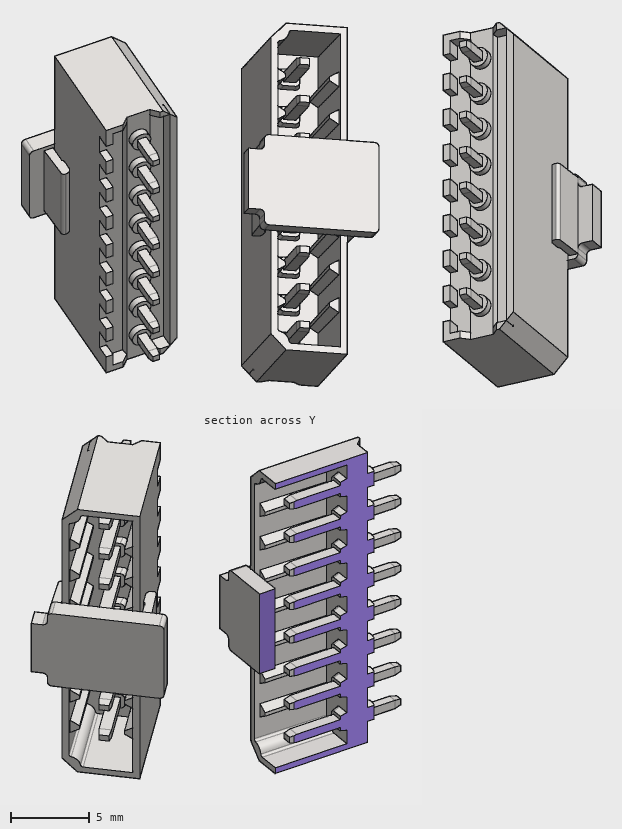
import cadquery as cq


HOUSING_DEPTH = 7.5
HOUSING_WIDTH = 5.03
HOUSING_HEIGHT = 21.7
CORNER_CHAMFER = 1.0

WALL = 0.45
WALL_AT_FLOOR = 0.52
CAVITY_DEPTH = 5.42
CORNER_PILLAR_RADIUS = 0.75
PILLAR_BLEND_RADIUS = 0.17

PIN_COUNT = 8
END_PIN_MARGIN = 2.1
PIN_THICKNESS = 0.63
BLADE_WIDTH = 0.8
BLADE_START = 1.13
TAIL_LENGTH = 2.1
TIP_LENGTH = 0.5
TIP_SETBACK_Y = 0.075
TIP_SETBACK_Z = 0.098
COLLAR_WIDTH = 1.56
COLLAR_HEIGHT = 1.35
COLLAR_LENGTH = 0.5
COLLAR_SETBACK = 0.12
COLLAR_RADIUS = 0.3
TAIL_BOSS_DIAMETER = 1.3

RIB_START = 0.41
RIB_TIP_Y = 1.45
RIB_TIP_HEIGHT = 0.25
RIB_BASE_HEIGHT = 1.0

REAR_WALL = 0.5
TROUGH_DEPTH = 0.98
NOTCH_DEPTH = 0.5
NOTCH_FLOOR_WIDTH = 1.63
SPINE_FLARE = 0.075
SLOT_HEIGHT = 1.37

CAP_THICKNESS = 1.2
CAP_WIDTH = 8.6
CAP_HEIGHT = 6.0
CAP_SHOULDER_Y = 3.25
CAP_TAB_HEIGHT = 4.0
CAP_RADIUS = 0.3
ARM_LENGTH = 2.5
ARM_ROOT_Y = 3.25
ARM_TIP_Y = 3.17
ARM_GAP = 0.1
ARM_GRIP_START = 1.25
ARM_GRIP_RAMP = 0.13
ARM_TIP_OUTER_RADIUS = 0.22
ARM_TIP_INNER_RADIUS = 0.4

HALF_WIDTH = HOUSING_WIDTH / 2
HALF_HEIGHT = HOUSING_HEIGHT / 2
TROUGH_FLOOR = HOUSING_DEPTH - TROUGH_DEPTH
SPINE_TOP = HOUSING_DEPTH - NOTCH_DEPTH
TROUGH_HEIGHT = HOUSING_HEIGHT - 2 * REAR_WALL
PIN_PITCH = (HOUSING_HEIGHT - 2 * END_PIN_MARGIN) / (PIN_COUNT - 1)
PIN_LEVELS = [(i - (PIN_COUNT - 1) / 2) * PIN_PITCH for i in range(PIN_COUNT)]
RIB_LEVELS = [level + PIN_PITCH / 2 for level in PIN_LEVELS[:-1]]


def box(x_min, x_max, y_min, y_max, z_min, z_max):
    """Box between the given limits."""
    size = (x_max - x_min, y_max - y_min, z_max - z_min)
    return cq.Workplane("XY").box(*size, centered=False).translate((x_min, y_min, z_min))


def section(x):
    """Sketch plane at x, with local axes along +Y and +Z."""
    return cq.Workplane("YZ", origin=(x, 0, 0))


def frustum(x_start, x_end, start_size, end_size, z):
    """Straight-sided loft between two (Y, Z) rectangles centred at y = 0 and the level z."""
    return (
        section(x_start).center(0, z).rect(*start_size)
        .workplane(offset=x_end - x_start).rect(*end_size)
        .loft(ruled=True)
    )


def housing_block():
    """Outer block with its two +Y corners chamfered."""
    block = section(0).rect(HOUSING_WIDTH, HOUSING_HEIGHT).extrude(HOUSING_DEPTH)
    return block.edges("|X and >Y").chamfer(CORNER_CHAMFER)


def cavity():
    """Mating cavity with thickening side walls and a convex pillar in each chamfered corner."""
    inner_height = HOUSING_HEIGHT - 2 * WALL
    mouth = (HOUSING_WIDTH - 2 * WALL, inner_height)
    floor = (HOUSING_WIDTH - 2 * WALL_AT_FLOOR, inner_height)
    space = frustum(0, CAVITY_DEPTH, mouth, floor, 0)
    y_corner = HALF_WIDTH - WALL
    reach = CORNER_PILLAR_RADIUS + PILLAR_BLEND_RADIUS
    for side in (1, -1):
        z_corner = side * (HALF_HEIGHT - WALL)
        pillar = section(0).center(y_corner, z_corner).circle(CORNER_PILLAR_RADIUS)
        space = space.cut(pillar.extrude(CAVITY_DEPTH))
        pillar_sides = cq.selectors.BoxSelector(
            (WALL, y_corner - reach, z_corner - reach),
            (CAVITY_DEPTH - WALL, y_corner + reach, z_corner + reach),
        )
        space = space.edges(pillar_sides).fillet(PILLAR_BLEND_RADIUS)
    return space


def guide_rib(side, z):
    """Blunt wedge along the +Y (side +1) or -Y (side -1) cavity wall."""
    y_base = side * (HALF_WIDTH - WALL)
    y_root = side * (HALF_WIDTH - WALL / 2)
    y_tip = side * RIB_TIP_Y
    profile = [
        (y_root, z - RIB_BASE_HEIGHT / 2),
        (y_base, z - RIB_BASE_HEIGHT / 2),
        (y_tip, z - RIB_TIP_HEIGHT / 2),
        (y_tip, z + RIB_TIP_HEIGHT / 2),
        (y_base, z + RIB_BASE_HEIGHT / 2),
        (y_root, z + RIB_BASE_HEIGHT / 2),
    ]
    return section(RIB_START).polyline(profile).close().extrude(CAVITY_DEPTH - RIB_START)


def rear_trough():
    """Hollow in the rear face around a central spine with slightly sloping flanks."""
    y_wall = HALF_WIDTH - REAR_WALL
    z_wall = TROUGH_HEIGHT / 2
    hollow = box(TROUGH_FLOOR, HOUSING_DEPTH, -y_wall, y_wall, -z_wall, z_wall)
    top_size = (NOTCH_FLOOR_WIDTH, TROUGH_HEIGHT)
    root_size = (NOTCH_FLOOR_WIDTH + 2 * SPINE_FLARE, TROUGH_HEIGHT)
    return hollow.cut(frustum(TROUGH_FLOOR, SPINE_TOP, root_size, top_size, 0))


def end_notches():
    """45 degree trapezoid that runs along Z and opens both end walls above the spine."""
    half_floor = NOTCH_FLOOR_WIDTH / 2
    half_mouth = half_floor + NOTCH_DEPTH
    profile = [
        (SPINE_TOP, -half_floor),
        (HOUSING_DEPTH, -half_mouth),
        (HOUSING_DEPTH, half_mouth),
        (SPINE_TOP, half_floor),
    ]
    notch = cq.Workplane("XY").polyline(profile).close().extrude(HOUSING_HEIGHT)
    return notch.translate((0, 0, -HALF_HEIGHT))


def wall_slot(z):
    """Slot through the -Y wall beside one pin, open at the rear face."""
    half = SLOT_HEIGHT / 2
    y_inner = -HALF_WIDTH + REAR_WALL
    return box(TROUGH_FLOOR, HOUSING_DEPTH, -HALF_WIDTH, y_inner, z - half, z + half)


def collar(z):
    """Tapered collar with rounded corners around a pin on the cavity floor."""
    top_width = COLLAR_WIDTH - 2 * COLLAR_SETBACK
    top_height = COLLAR_HEIGHT - 2 * COLLAR_SETBACK
    body = frustum(
        CAVITY_DEPTH, CAVITY_DEPTH - COLLAR_LENGTH,
        (COLLAR_WIDTH, COLLAR_HEIGHT), (top_width, top_height), z,
    )
    return body.edges("not(<X or >X)").fillet(COLLAR_RADIUS)


def pin(z):
    """Wide blade in the cavity and square tail behind the housing, both with tapered tips."""
    blade = (BLADE_WIDTH, PIN_THICKNESS)
    tail = (PIN_THICKNESS, PIN_THICKNESS)
    tail_end = HOUSING_DEPTH + TAIL_LENGTH
    tail_shoulder = tail_end - TIP_LENGTH
    blade_shoulder = BLADE_START + TIP_LENGTH

    def tip_of(size):
        return (size[0] - 2 * TIP_SETBACK_Y, size[1] - 2 * TIP_SETBACK_Z)

    body = frustum(BLADE_START, blade_shoulder, tip_of(blade), blade, z)
    body = body.union(frustum(blade_shoulder, CAVITY_DEPTH, blade, blade, z))
    body = body.union(frustum(CAVITY_DEPTH, tail_shoulder, tail, tail, z))
    return body.union(frustum(tail_shoulder, tail_end, tail, tip_of(tail), z))


def tail_boss(z):
    """Round boss on the spine, flush with the rear face, around a pin tail."""
    return section(SPINE_TOP).center(0, z).circle(TAIL_BOSS_DIAMETER / 2).extrude(NOTCH_DEPTH)


def make_connector():
    """Housing with its ribs, collars, bosses and pins as one solid."""
    body = housing_block().cut(cavity()).cut(rear_trough()).cut(end_notches())
    for z in RIB_LEVELS:
        for side in (1, -1):
            body = body.union(guide_rib(side, z))
    for z in PIN_LEVELS:
        body = body.cut(wall_slot(z))
        body = body.union(collar(z)).union(tail_boss(z)).union(pin(z))
    return body


def cap_plate():
    """Flat plate with rounded corners and a narrower tab on its +Y side."""
    y_end = CAP_WIDTH / 2
    plate = box(-CAP_THICKNESS, 0, -y_end, CAP_SHOULDER_Y, -CAP_HEIGHT / 2, CAP_HEIGHT / 2)
    plate = plate.edges("|X").fillet(CAP_RADIUS)
    tab = box(-CAP_THICKNESS, 0, 0, y_end, -CAP_TAB_HEIGHT / 2, CAP_TAB_HEIGHT / 2)
    plate = plate.union(tab)
    inner_corners = cq.selectors.BoxSelector(
        (-CAP_THICKNESS, CAP_SHOULDER_Y - CAP_RADIUS / 2, -CAP_HEIGHT / 2),
        (0, CAP_SHOULDER_Y + CAP_RADIUS / 2, CAP_HEIGHT / 2),
    )
    return plate.edges("|X").edges(inner_corners).fillet(CAP_RADIUS)


def cap_arm():
    """Arm on the +Y side that stands off the housing and grips it near its rounded tip."""
    profile = [
        (0, HALF_WIDTH + ARM_GAP),
        (ARM_GRIP_START, HALF_WIDTH + ARM_GAP),
        (ARM_GRIP_START + ARM_GRIP_RAMP, HALF_WIDTH),
        (ARM_LENGTH, HALF_WIDTH),
        (ARM_LENGTH, ARM_TIP_Y),
        (0, ARM_ROOT_Y),
    ]
    arm_height = CAP_HEIGHT - 2 * CAP_RADIUS
    arm = cq.Workplane("XY").polyline(profile).close().extrude(arm_height)
    arm = arm.translate((0, 0, -arm_height / 2))
    arm = arm.edges("|Z and >X").edges(">Y").fillet(ARM_TIP_OUTER_RADIUS)
    return arm.edges("|Z and >X").edges("<Y").fillet(ARM_TIP_INNER_RADIUS)


def make_cap():
    """Pick-up cap: a plate over the cavity with one arm on each side of the housing."""
    arm = cap_arm()
    return cap_plate().union(arm).union(arm.mirror("XZ"))


connector = make_connector()
cap = make_cap()

result = cq.Compound.makeCompound([connector.val(), cap.val()])